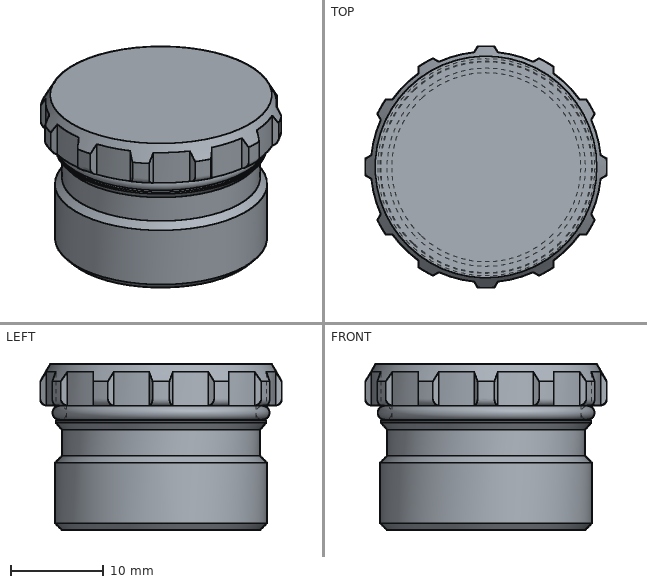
import cadquery as cq
import math

overall_height = 18.0
knob_height = 4.53
knob_bottom = overall_height - knob_height
barrel_height = 8.05
collar_bottom = 10.87
collar_top = 11.85
collar_rim_height = 0.2

knob_radius = 13.1
knob_root_radius = 12.5
knob_top_radius = 12.0
knob_chamfer_angle = 60
knob_bottom_fillet = 0.75
tooth_count = 12
tooth_tip_width = 1.78
tooth_flank_angle = 30

ring_section_radius = 0.75
ring_inner_radius = 10.25
ring_centre_radius = ring_inner_radius + ring_section_radius
ring_centre_height = knob_bottom - ring_section_radius

barrel_radius = 11.5
neck_radius = 10.75
collar_radius = 11.42
barrel_chamfer = barrel_radius - neck_radius


def tooth_prism(angle):
    """Wedge that keeps one grip tooth; its flanks widen towards the axis."""
    tip_half = tooth_tip_width / 2
    base_half = tip_half + knob_radius * math.tan(math.radians(tooth_flank_angle))
    outline = [
        (0, -base_half),
        (knob_radius, -tip_half),
        (knob_radius, tip_half),
        (0, base_half),
    ]
    prism = cq.Workplane("XY").polyline(outline).close().extrude(knob_height)
    return prism.rotate((0, 0, 0), (0, 0, 1), angle)


def make_knob():
    """Turned knob with a chamfered top, a rounded bottom edge and grip teeth."""
    chamfer_width = knob_radius - knob_top_radius
    chamfer_height = chamfer_width * math.tan(math.radians(knob_chamfer_angle))
    blank = (
        cq.Workplane("XZ")
        .lineTo(knob_radius - knob_bottom_fillet, 0)
        .radiusArc((knob_radius, knob_bottom_fillet), -knob_bottom_fillet)
        .lineTo(knob_radius, knob_height - chamfer_height)
        .lineTo(knob_top_radius, knob_height)
        .lineTo(0, knob_height)
        .close()
        .revolve()
    )
    knob = blank.intersect(cq.Workplane("XY").circle(knob_root_radius).extrude(knob_height))
    for index in range(tooth_count):
        tooth = blank.intersect(tooth_prism(index * 360 / tooth_count))
        knob = knob.union(tooth)
    return knob.translate((0, 0, knob_bottom))


def make_o_ring():
    """Round-section seal seated around the plug, directly under the knob."""
    centre = cq.Vector(0, 0, ring_centre_height)
    return cq.Workplane(cq.Solid.makeTorus(ring_centre_radius, ring_section_radius, centre))


def make_plug():
    """Turned plug: chamfered barrel, narrower neck, collar and seal seat."""
    outline = [
        (0, 0),
        (neck_radius, 0),
        (barrel_radius, barrel_chamfer),
        (barrel_radius, barrel_height - barrel_chamfer),
        (neck_radius, barrel_height),
        (neck_radius, collar_bottom),
        (collar_radius, collar_top - collar_rim_height),
        (collar_radius, collar_top),
        (ring_inner_radius, collar_top),
        (ring_inner_radius, knob_bottom),
        (0, knob_bottom),
    ]
    return cq.Workplane("XZ").polyline(outline).close().revolve()


knob = make_knob()
o_ring = make_o_ring()
plug = make_plug()

result = cq.Compound.makeCompound([knob.val(), o_ring.val(), plug.val()])